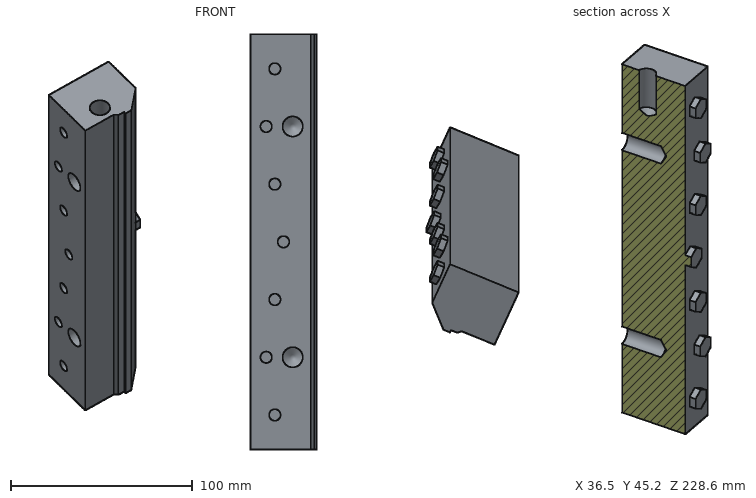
import cadquery as cq
import math

length = 228.6
body_width = 33.3375
body_depth = 41.275

lip_width = 36.53
lip_step_x = 35.1
lip_start_y = 19.8
lip_underside_rise = lip_step_x - body_width
lip_step_y = 25.4
bevel = 11.9

bolt_count = 7
bolt_pitch = 31.75
bolt_middle_x = 13.49
bolt_stagger = 4.7625
bolt_offsets = (0, -1, 0, 1)
bolt_hole_diameter = 6.35
overall_depth = 45.21
head_height = overall_depth - body_depth
head_across_flats = 10.95
head_sides = 6
head_across_corners = head_across_flats / math.cos(math.pi / head_sides)

port_diameter = 11.11
port_depth = 25.4
port_point_angle = 118
front_port_x = 23.32
front_port_z = 2 * bolt_pitch
end_port_x = 24.6
end_port_y = 16.7


def make_body():
    outline = [
        (0, 0),
        (body_width, 0),
        (body_width, lip_start_y),
        (lip_step_x, lip_start_y + lip_underside_rise),
        (lip_step_x, lip_step_y),
        (lip_width, lip_step_y),
        (lip_width, body_depth - bevel),
        (lip_width - bevel, body_depth),
        (0, body_depth),
    ]
    return cq.Workplane("XY").polyline(outline).close().extrude(length / 2, both=True)


def bolt_positions():
    first_z = -bolt_pitch * (bolt_count - 1) / 2
    positions = []
    for i in range(bolt_count):
        x = bolt_middle_x + bolt_stagger * bolt_offsets[i % len(bolt_offsets)]
        positions.append((x, first_z + i * bolt_pitch))
    return positions


def make_bolt_hole(x, z):
    """Bolt hole through the body, closed at the rear by the bolt head."""
    hole = cq.Solid.makeCylinder(
        bolt_hole_diameter / 2, body_depth, cq.Vector(x, 0, z), cq.Vector(0, 1, 0)
    )
    return cq.Workplane(hole)


def make_bolt_head(x, z):
    """Hexagonal head on the rear face, with two corners pointing along Z."""
    plane = cq.Plane(origin=(x, body_depth, z), xDir=(0, 0, 1), normal=(0, 1, 0))
    return cq.Workplane(plane).polygon(head_sides, head_across_corners).extrude(head_height)


def make_port(mouth, direction):
    """Drilled hole: a cylinder of the port depth followed by a drill point."""
    radius = port_diameter / 2
    point_length = radius / math.tan(math.radians(port_point_angle / 2))
    start = cq.Vector(*mouth)
    axis = cq.Vector(*direction)
    bore = cq.Solid.makeCylinder(radius, port_depth, start, axis)
    point = cq.Solid.makeCone(radius, 0, point_length, start + axis * port_depth, axis)
    return cq.Workplane(bore).union(cq.Workplane(point))


result = make_body()

for bolt_x, bolt_z in bolt_positions():
    result = result.cut(make_bolt_hole(bolt_x, bolt_z))
    result = result.union(make_bolt_head(bolt_x, bolt_z))

for port_z in (-front_port_z, front_port_z):
    result = result.cut(make_port((front_port_x, 0, port_z), (0, 1, 0)))

result = result.cut(make_port((end_port_x, end_port_y, length / 2), (0, 0, -1)))